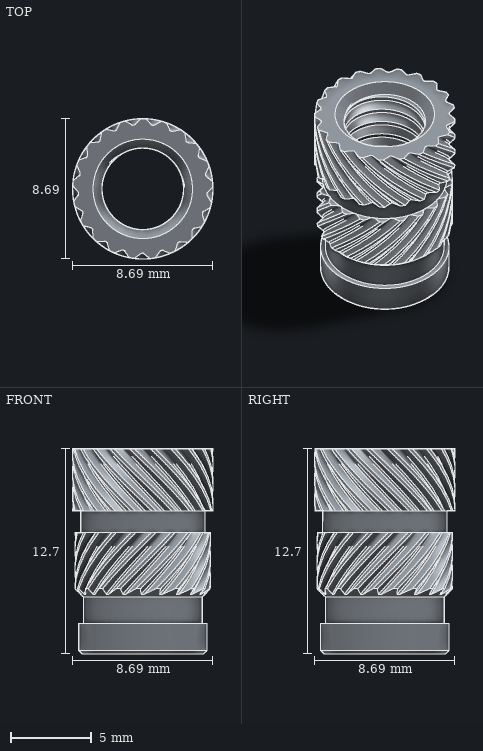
import cadquery as cq
import math

TOTAL_HEIGHT = 12.7
COLLAR_TOP = 1.9
LOWER_KNURL_BOTTOM = 3.53
LOWER_KNURL_TOP = 7.5
UPPER_KNURL_BOTTOM = 8.85

COLLAR_RADIUS = 7.95 / 2
NECK_RADIUS = 7.35 / 2
WAIST_RADIUS = 7.7 / 2
LOWER_KNURL_RADIUS = 8.38 / 2
UPPER_KNURL_RADIUS = 8.69 / 2
COLLAR_CHAMFER = 0.23

RING_OVERLAP = 0.13

TOOTH_COUNT = 21
GROOVE_DEPTH = 0.37
GROOVE_HALF_ANGLE = 6.6
FLOOR_HALF_ANGLE = 1.5
FLOOR_DROP = 0.04
KNURL_LEAD = 26.34
UPPER_GROOVE_DIRECTION = 270.7
LOWER_GROOVE_DIRECTION = 267.6

BORE_RADIUS = 5.03 / 2
COUNTERSINK_RADIUS = 6.15 / 2
COUNTERSINK_DEPTH = COUNTERSINK_RADIUS - BORE_RADIUS
THREAD_TOP = TOTAL_HEIGHT - COUNTERSINK_DEPTH
THREAD_PITCH = 1.0
CREST_WIDTH = 0.28
FLANK_ANGLE = 30.0
THREAD_TOP_ANGLE = 120.0
THREAD_OVERLAP = 0.06


def cylinder(radius, bottom, top):
    return cq.Workplane("XY").workplane(offset=bottom).circle(radius).extrude(top - bottom)


def cone(bottom_radius, top_radius, bottom, top):
    base = cq.Vector(0, 0, bottom)
    return cq.Workplane(obj=cq.Solid.makeCone(bottom_radius, top_radius, top - bottom, pnt=base))


def polar(radius, angle):
    turn = math.radians(angle)
    return (radius * math.cos(turn), radius * math.sin(turn))


def knurl(radius, bottom, top, groove_direction, turn_direction):
    """Solid with helical teeth separated by V grooves with a rounded floor."""
    floor = radius - GROOVE_DEPTH
    floor_edge = floor + FLOOR_DROP
    pitch_angle = 360.0 / TOOTH_COUNT
    outline = cq.Workplane("XY").workplane(offset=bottom)
    outline = outline.moveTo(*polar(radius, groove_direction - GROOVE_HALF_ANGLE))
    for tooth in range(TOOTH_COUNT):
        middle = groove_direction + tooth * pitch_angle
        next_middle = middle + pitch_angle
        outline = outline.lineTo(*polar(floor_edge, middle - FLOOR_HALF_ANGLE))
        outline = outline.threePointArc(
            polar(floor, middle),
            polar(floor_edge, middle + FLOOR_HALF_ANGLE),
        )
        outline = outline.lineTo(*polar(radius, middle + GROOVE_HALF_ANGLE))
        outline = outline.threePointArc(
            polar(radius, middle + pitch_angle / 2),
            polar(radius, next_middle - GROOVE_HALF_ANGLE),
        )
    height = top - bottom
    twist = turn_direction * 360.0 * height / KNURL_LEAD
    return outline.close().twistExtrude(height, twist)


def upper_knurl():
    return knurl(UPPER_KNURL_RADIUS, UPPER_KNURL_BOTTOM, TOTAL_HEIGHT, UPPER_GROOVE_DIRECTION, -1)


def lower_knurl():
    """Lower knurl, its bottom end bevelled at 45 degrees down to the neck."""
    teeth = knurl(LOWER_KNURL_RADIUS, LOWER_KNURL_BOTTOM, LOWER_KNURL_TOP, LOWER_GROOVE_DIRECTION, 1)
    height = LOWER_KNURL_TOP - LOWER_KNURL_BOTTOM
    return teeth.intersect(cone(NECK_RADIUS, NECK_RADIUS + height, LOWER_KNURL_BOTTOM, LOWER_KNURL_TOP))


def thread_groove():
    """Helical V groove of the internal right-hand thread, ending at the countersink."""
    slope = math.tan(math.radians(FLANK_ANGLE))
    half_mouth = (THREAD_PITCH - CREST_WIDTH) / 2
    root_radius = BORE_RADIUS + half_mouth / slope
    half_inner = half_mouth + THREAD_OVERLAP * slope
    inner_radius = BORE_RADIUS - THREAD_OVERLAP

    middle_at_zero = THREAD_TOP - half_mouth - THREAD_PITCH * THREAD_TOP_ANGLE / 360
    turns_below = math.ceil(middle_at_zero / THREAD_PITCH) + 1
    start = middle_at_zero - turns_below * THREAD_PITCH
    length = (turns_below + 2) * THREAD_PITCH
    helix = cq.Wire.makeHelix(THREAD_PITCH, length, BORE_RADIUS, center=cq.Vector(0, 0, start))
    groove = (
        cq.Workplane("XZ")
        .polyline([
            (inner_radius, start - half_inner),
            (root_radius, start),
            (inner_radius, start + half_inner),
        ])
        .close()
        .sweep(cq.Workplane(obj=helix), isFrenet=True)
    )
    return groove.intersect(cylinder(WAIST_RADIUS, -THREAD_PITCH, THREAD_TOP))


def countersink():
    return cone(BORE_RADIUS, COUNTERSINK_RADIUS, THREAD_TOP, TOTAL_HEIGHT)


def threaded_core():
    """Plain tube as wide as the neck, with the thread and the countersunk mouth."""
    tube = cylinder(NECK_RADIUS, 0, TOTAL_HEIGHT).cut(cylinder(BORE_RADIUS, 0, TOTAL_HEIGHT))
    return tube.cut(thread_groove()).cut(countersink())


def outer_rings():
    """Collar, knurls and waist, hollowed so that they overlap the wall of the core."""
    collar = cylinder(COLLAR_RADIUS, 0, COLLAR_TOP).faces("<Z").chamfer(COLLAR_CHAMFER)
    waist = cylinder(WAIST_RADIUS, LOWER_KNURL_TOP, UPPER_KNURL_BOTTOM)
    rings = lower_knurl().union(waist).union(upper_knurl()).union(collar)
    return rings.cut(cylinder(NECK_RADIUS - RING_OVERLAP, 0, TOTAL_HEIGHT))


result = threaded_core().union(outer_rings())